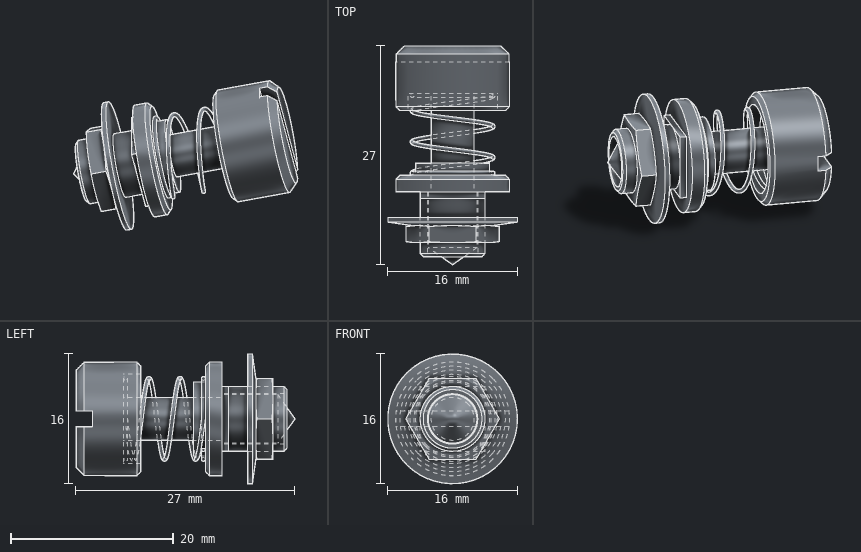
import cadquery as cq
import math


total_length = 27.0
head_radius = 7.02
head_length = 8.0
head_top_chamfer = 1.0
head_bottom_chamfer = 0.5
slot_width = 1.9
slot_depth = 2.0
pocket_radius = 5.5
shank_radius = 2.65
tip_radius = 3.0
tip_cone_height = 2.13

collar_radius = 4.55
collar_length = 1.48
flange_radius = head_radius
flange_length = 2.08
flange_chamfer = 0.5
neck_length = 0.78
barrel_radius = 4.0
barrel_end_y = 1.0
barrel_chamfer = 0.38
bore_radius = 3.1
flange_front_y = 9.0

washer_diameter = 16.0
washer_radius = washer_diameter / 2
washer_back_y = 5.85
rim_thickness = 0.6
cone_height = 0.43

nut_across_flats = 10.0
nut_thickness = 2.08
nut_chamfer_height = 0.1

wire_radius = 0.25
coil_radius = 5.0
spring_pitch = 3.83
active_turns = 2.5
first_coil_angle = 310.0
last_coil_angle = 360.0

head_bottom_y = total_length - head_length
flange_back_y = flange_front_y + flange_length
collar_back_y = flange_back_y + collar_length
neck_front_y = flange_front_y - neck_length
rim_front_y = washer_back_y - rim_thickness
washer_front_y = rim_front_y - cone_height
nut_front_y = washer_front_y - nut_thickness
first_coil_y = flange_back_y + wire_radius
helix_height = active_turns * spring_pitch
pocket_floor_y = first_coil_y + helix_height + wire_radius


def turned(profile):
    """Solid of revolution about Y from (radius, y) points."""
    return cq.Workplane("XY").polyline(profile).close().revolve(360, (0, 0), (0, 1))


def cylinder(radius, y_start, y_end):
    return turned([(0, y_start), (radius, y_start), (radius, y_end), (0, y_end)])


def make_screw():
    body = turned([
        (0, 0),
        (tip_radius, tip_cone_height),
        (tip_radius, flange_front_y),
        (shank_radius, flange_front_y),
        (shank_radius, pocket_floor_y),
        (pocket_radius, pocket_floor_y),
        (pocket_radius, head_bottom_y),
        (head_radius - head_bottom_chamfer, head_bottom_y),
        (head_radius, head_bottom_y + head_bottom_chamfer),
        (head_radius, total_length - head_top_chamfer),
        (head_radius - head_top_chamfer, total_length),
        (0, total_length),
    ])
    slot = cq.Workplane("XY").box(2 * head_radius, 2 * slot_depth, slot_width)
    return body.cut(slot.translate((0, total_length, 0)))


def make_retainer():
    turned_body = turned([
        (0, barrel_end_y),
        (barrel_radius - barrel_chamfer, barrel_end_y),
        (barrel_radius, barrel_end_y + barrel_chamfer),
        (barrel_radius, flange_front_y),
        (flange_radius, flange_front_y),
        (flange_radius, flange_back_y - flange_chamfer),
        (flange_radius - flange_chamfer, flange_back_y),
        (collar_radius, flange_back_y),
        (collar_radius, collar_back_y),
        (0, collar_back_y),
    ])
    neck = cq.Workplane("XY").box(2 * barrel_radius, neck_length, 2 * barrel_radius)
    neck = neck.translate((0, neck_front_y + neck_length / 2, 0))
    tip_bore = cylinder(bore_radius, barrel_end_y, flange_front_y)
    shank_hole = cylinder(shank_radius, flange_front_y, collar_back_y)
    return turned_body.union(neck).cut(tip_bore).cut(shank_hole)


def make_washer():
    return turned([
        (barrel_radius, washer_back_y),
        (washer_radius, washer_back_y),
        (washer_radius, rim_front_y),
        (nut_across_flats / 2, washer_front_y),
        (barrel_radius, washer_front_y),
    ])


def make_nut():
    flat_radius = nut_across_flats / 2
    corner_radius = flat_radius / math.cos(math.pi / 6)
    hexagon = (
        cq.Workplane("XZ", origin=(0, washer_front_y, 0))
        .polygon(6, 2 * corner_radius)
        .extrude(nut_thickness)
    )
    envelope = turned([
        (barrel_radius, nut_front_y),
        (flat_radius, nut_front_y),
        (corner_radius, nut_front_y + nut_chamfer_height),
        (corner_radius, washer_front_y - nut_chamfer_height),
        (flat_radius, washer_front_y),
        (barrel_radius, washer_front_y),
    ])
    return hexagon.intersect(envelope)


def make_end_coil(center_x, y, angle):
    """Flat coil starting at center_x and turning by angle about Y."""
    return (
        cq.Workplane("XY")
        .center(center_x, y)
        .circle(wire_radius)
        .revolve(angle, (-center_x, 0), (-center_x, 1))
    )


def make_spring():
    helix = cq.Wire.makeHelix(spring_pitch, helix_height, coil_radius, lefthand=True)
    active = cq.Workplane("XZ").center(coil_radius, 0).circle(wire_radius).sweep(helix, isFrenet=True)
    active = active.rotate((0, 0, 0), (0, 0, 1), 180).rotate((0, 0, 0), (1, 0, 0), -90)
    active = active.translate((0, first_coil_y, 0))
    first_coil = make_end_coil(-coil_radius, first_coil_y, first_coil_angle)
    last_coil = make_end_coil(coil_radius, first_coil_y + helix_height, -last_coil_angle)
    return active.union(first_coil).union(last_coil)


screw = make_screw()
retainer = make_retainer()
washer = make_washer()
nut = make_nut()
spring = make_spring()

result = cq.Compound.makeCompound([
    screw.solids().val(),
    retainer.solids().val(),
    washer.solids().val(),
    nut.solids().val(),
    spring.solids().val(),
])